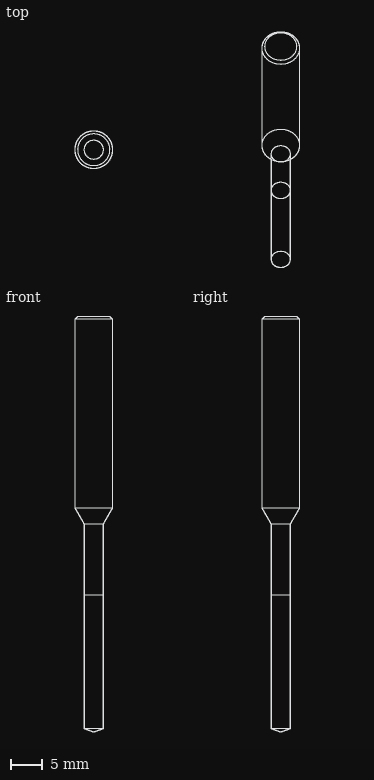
import cadquery as cq
import math

total_length = 66.0
shank_diameter = 6.0
drill_diameter = 3.05
shank_chamfer = 0.45
point_angle = 140.0
taper_half_angle = 30.0
joint_height = 21.8
neck_top = 33.0

shank_radius = shank_diameter / 2
drill_radius = drill_diameter / 2
point_height = drill_radius / math.tan(math.radians(point_angle / 2))
taper_height = (shank_radius - drill_radius) / math.tan(math.radians(taper_half_angle))
taper_top = neck_top + taper_height


def make_shank():
    """Chamfered cylindrical shank, tapering down to a slim neck."""
    profile = (
        cq.Workplane("YZ")
        .moveTo(0, joint_height)
        .lineTo(-drill_radius, joint_height)
        .lineTo(-drill_radius, neck_top)
        .lineTo(-shank_radius, taper_top)
        .lineTo(-shank_radius, total_length - shank_chamfer)
        .lineTo(-(shank_radius - shank_chamfer), total_length)
        .lineTo(0, total_length)
        .close()
    )
    return profile.revolve(360, (0, 0, 0), (0, 1, 0))


def make_cutting_section():
    """Cylindrical cutting section ending in a conical point."""
    profile = (
        cq.Workplane("XZ")
        .moveTo(0, 0)
        .lineTo(-drill_radius, point_height)
        .lineTo(-drill_radius, joint_height)
        .lineTo(0, joint_height)
        .close()
    )
    return profile.revolve(360, (0, 0, 0), (0, 1, 0))


shank = make_shank()
cutting_section = make_cutting_section()

result = cq.Compound.makeCompound([shank.val(), cutting_section.val()])